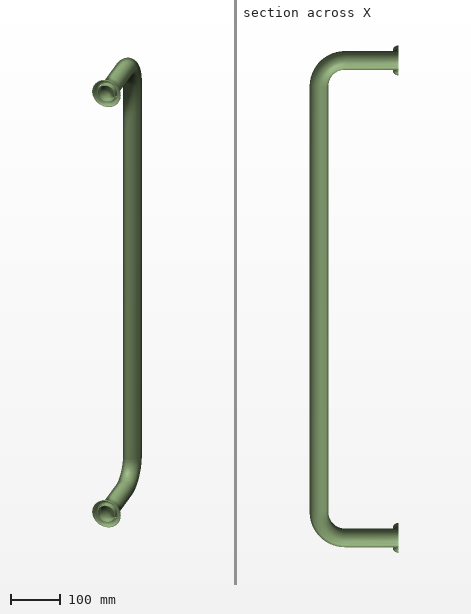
import cadquery as cq
import math

overall_height = 1022.0
overall_depth = 179.0

tube_diameter = 38.0
tube_bore = 36.0
bend_radius = 52.0

rosette_diameter = 60.0
rosette_height = 11.0
rosette_wall = 1.0
rosette_hole = 39.0
side_radius = 12.0

wall_y = -overall_depth / 2
grip_y = overall_depth / 2 - tube_diameter / 2
leg_z = (overall_height - rosette_diameter) / 2

def make_handle():
    """Bent tube: two legs, two quarter bends and a straight grip."""
    bend_y = grip_y - bend_radius
    bend_z = leg_z - bend_radius
    path = (
        cq.Workplane("YZ")
        .moveTo(wall_y, -leg_z)
        .lineTo(bend_y, -leg_z)
        .tangentArcPoint((grip_y, -bend_z), relative=False)
        .lineTo(grip_y, bend_z)
        .tangentArcPoint((bend_y, leg_z), relative=False)
        .lineTo(wall_y, leg_z)
    )
    return (
        cq.Workplane("XZ", origin=(0, wall_y, -leg_z))
        .circle(tube_diameter / 2)
        .circle(tube_bore / 2)
        .sweep(path)
    )

def make_dome(trim):
    """Solid cap with a bulged side, set inside the outer surface by the thickness trim."""
    base_radius = rosette_diameter / 2 - trim
    height = rosette_height - trim
    arc_radius = side_radius - trim
    arc_centre = base_radius - arc_radius

    def side_point(level):
        """Radius and height of the bulged side at the given height."""
        return arc_centre + math.sqrt(arc_radius**2 - level**2), level

    return (
        cq.Workplane("XY")
        .lineTo(base_radius, 0)
        .threePointArc(side_point(height / 2), side_point(height))
        .lineTo(0, height)
        .close()
        .revolve(360, (0, 0), (0, 1))
    )

def make_rosette(center_z):
    """Thin round cup, open towards the wall, with a hole for the tube."""
    hole = cq.Workplane("XZ").circle(rosette_hole / 2).extrude(-rosette_height)
    cup = make_dome(0).cut(make_dome(rosette_wall)).cut(hole)
    return cup.translate((0, wall_y, center_z))

handle = make_handle()
rosettes = [make_rosette(center_z) for center_z in (-leg_z, leg_z)]

result = cq.Compound.makeCompound([handle.val(), *[rosette.val() for rosette in rosettes]])